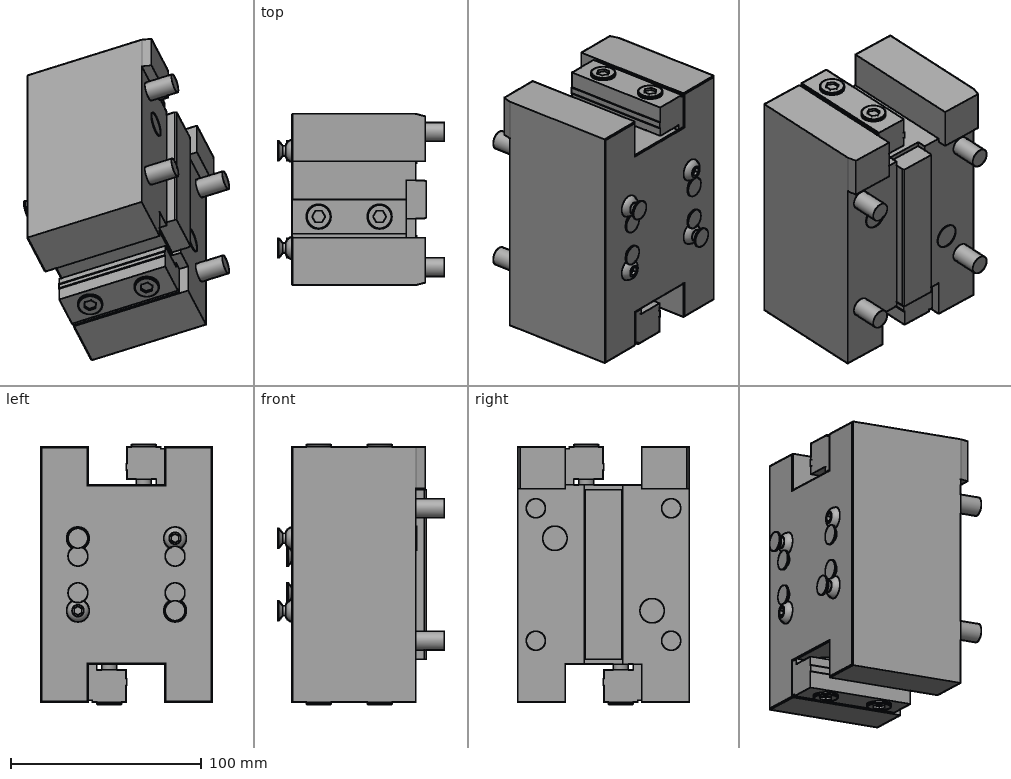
import cadquery as cq
import math

body_depth = 65.0
body_width = 90.0
body_height = 134.0
slot_width = 40.0
slot_depth = 20.0
face_chamfer = 0.5

half_width = body_width / 2
half_height = body_height / 2
slot_half = slot_width / 2
slot_floor = half_height - slot_depth

pad_rise = 5.0
pad_bottom = 45.0
pad_taper = 1.35
pad_face = body_depth + pad_rise

rail_width = 20.0
rail_height = 89.0
rail_seat_depth = 5.0
rail_face = 70.5
rail_chamfer_depth = 1.0
rail_chamfer_side = 0.5
rail_seat = body_depth - rail_seat_depth

bar_length = rail_seat
bar_side = 0.25
bar_thickness = 17.0
bar_foot_width = 4.5
bar_rebate_width = 2.0
bar_rebate_depth = 1.0
ridge_rise = 0.5
ridge_low = 54.7
ridge_high = 58.2

clamp_screw_xs = (14.0, 46.0)
clamp_screw_y = -9.0
clamp_shank_radius = 4.0
clamp_head_radius = 6.5
clamp_head_height = 1.35
clamp_head_chamfer = 0.4
clamp_hex_flats = 6.0

pin_radius = 5.0
pin_end = 80.0
pin_y = 35.5
pin_z = 34.75

button_y = 25.5
button_z = 19.0
button_radius = 5.95
button_top_radius = 3.1
button_height = 3.3
button_mid_radius = 5.0
button_mid_height = 2.0
button_hex_flats = 4.0
button_hex_depth = 2.0

plug_z = 9.6
plug_radius = 5.2
plug_neck_radius = 2.7
plug_rim = 0.75
plug_cone = 1.9
plug_root_depth = 0.5
high_plug_height = 7.55
low_plug_height = 2.65

end_disc_radius = 6.4
end_disc_height = 0.4


def box(x0, x1, y0, y1, z0, z1):
    """Box given by its limits along each axis."""
    return cq.Workplane("XY").box(x1 - x0, y1 - y0, z1 - z0, centered=False).translate((x0, y0, z0))


def hexagon_corners(flats):
    """Distance across the corners of a hexagon with the given width across flats."""
    return flats / math.cos(math.pi / 6)


def rod_x(radius, x0, x1, y, z):
    """Round bar along X."""
    return cq.Workplane("YZ", origin=(x0, y, z)).circle(radius).extrude(x1 - x0)


def half_turn(shape):
    """Copy turned half a revolution about the X axis."""
    return shape.rotate((0, 0, 0), (1, 0, 0), 180)


def make_body():
    body = box(0, body_depth, -half_width, half_width, -half_height, half_height)
    body = body.cut(box(0, body_depth, -slot_half, slot_half, slot_floor, half_height))
    body = body.cut(box(0, body_depth, -slot_half, slot_half, -half_height, -slot_floor))
    body = body.faces("<X").chamfer(face_chamfer)
    rail_half = rail_width / 2
    return body.cut(box(rail_seat, body_depth, -rail_half, rail_half, -slot_floor, slot_floor))


def make_pads():
    pad = (
        cq.Workplane("XY", origin=(0, 0, pad_bottom))
        .moveTo(body_depth, slot_half)
        .lineTo(pad_face, slot_half)
        .lineTo(pad_face, half_width - pad_taper)
        .lineTo(body_depth, half_width)
        .close()
        .extrude(half_height - pad_bottom)
    )
    return pad.union(pad.mirror("XZ"))


def make_rail():
    rail_half = rail_width / 2
    chamfer_start = rail_face - rail_chamfer_depth
    face_half = rail_half - rail_chamfer_side
    return (
        cq.Workplane("XY", origin=(0, 0, -rail_height / 2))
        .moveTo(rail_seat, -rail_half)
        .lineTo(chamfer_start, -rail_half)
        .lineTo(rail_face, -face_half)
        .lineTo(rail_face, face_half)
        .lineTo(chamfer_start, rail_half)
        .lineTo(rail_seat, rail_half)
        .close()
        .extrude(rail_height)
    )


def make_clamp_screw(x):
    shank = (
        cq.Workplane("XY", origin=(x, clamp_screw_y, slot_floor))
        .circle(clamp_shank_radius)
        .extrude(half_height - slot_floor)
    )
    head = (
        cq.Workplane("XY", origin=(x, clamp_screw_y, half_height))
        .circle(clamp_head_radius)
        .extrude(clamp_head_height)
        .faces(">Z")
        .chamfer(clamp_head_chamfer)
    )
    socket = (
        cq.Workplane("XY", origin=(x, clamp_screw_y, half_height))
        .polygon(6, hexagon_corners(clamp_hex_flats))
        .extrude(clamp_head_height)
    )
    return shank.union(head.cut(socket))


def make_clamp():
    """Upper clamp bar with its foot, gripping ridge and two screws."""
    bar_bottom = half_height - bar_thickness
    clamp = box(0, bar_length, -slot_half, -bar_side, bar_bottom, half_height)
    foot_edge = bar_foot_width - slot_half
    clamp = clamp.union(box(0, bar_length, -slot_half, foot_edge, slot_floor, bar_bottom))
    rebate_edge = bar_rebate_width - slot_half
    rebate_floor = half_height - bar_rebate_depth
    clamp = clamp.cut(box(0, bar_length, -slot_half, rebate_edge, rebate_floor, half_height))
    clamp = clamp.union(box(0, bar_length, -bar_side, ridge_rise - bar_side, ridge_low, ridge_high))
    for x in clamp_screw_xs:
        clamp = clamp.union(make_clamp_screw(x))
    return clamp


def make_button(y, z):
    """Domed screw head standing on the front face, with a hexagon socket."""
    dome = (
        cq.Workplane("XY")
        .moveTo(0, 0)
        .lineTo(0, button_radius)
        .threePointArc((-button_mid_height, button_mid_radius), (-button_height, button_top_radius))
        .lineTo(-button_height, 0)
        .close()
        .revolve(360, (0, 0, 0), (1, 0, 0))
    )
    socket = (
        cq.Workplane("YZ", origin=(-button_height, 0, 0))
        .polygon(6, hexagon_corners(button_hex_flats))
        .extrude(button_hex_depth)
        .rotate((0, 0, 0), (1, 0, 0), 90)
    )
    return dome.cut(socket).translate((0, y, z))


def make_plug(height, y, z):
    """Flared plug: flat rim, cone and a neck reaching into the body."""
    rim_back = plug_rim - height
    cone_end = rim_back + plug_cone
    neck_end = max(cone_end, 0) + plug_root_depth
    return (
        cq.Workplane("XY")
        .moveTo(-height, 0)
        .lineTo(-height, plug_radius)
        .lineTo(rim_back, plug_radius)
        .lineTo(cone_end, plug_neck_radius)
        .lineTo(neck_end, plug_neck_radius)
        .lineTo(neck_end, 0)
        .close()
        .revolve(360, (0, 0, 0), (1, 0, 0))
        .translate((0, y, z))
    )


result = make_body().union(make_pads()).union(make_rail())

clamp = make_clamp()
result = result.union(clamp).union(half_turn(clamp))

for side_y in (-1, 1):
    for side_z in (-1, 1):
        result = result.union(rod_x(pin_radius, body_depth, pin_end, side_y * pin_y, side_z * pin_z))
        result = result.union(make_button(side_y * button_y, side_z * button_z))
        result = result.union(make_plug(low_plug_height, side_y * button_y, side_z * plug_z))

disc_end = body_depth + end_disc_height
for side in (-1, 1):
    result = result.union(make_plug(high_plug_height, side * button_y, side * button_z))
    result = result.union(rod_x(end_disc_radius, body_depth, disc_end, -side * button_y, side * button_z))